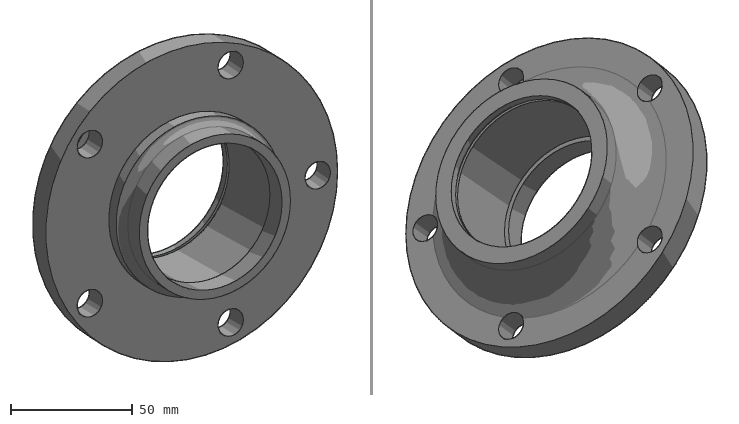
import cadquery as cq
import math

total_length = 52.0
flange_start = 22.0
flange_thickness = 11.0
flange_end = flange_start + flange_thickness
boss_length = 6.0
boss_end = flange_end + boss_length

flange_diameter = 139.0
hub_diameter = 83.0
boss_diameter = 79.0
spigot_diameter = 72.0

hub_fillet = 15.0
spigot_fillet = (boss_diameter - spigot_diameter) / 2

seat_diameter = 68.0
seat_depth = 42.0
shoulder_diameter = 64.0
groove_start = 3.5
groove_width = 1.5
groove_diameter = 71.0

bolt_count = 5
bolt_hole_diameter = 12.0
bolt_circle_diameter = 120.0


def disc(start, end, diameter):
    """Solid cylinder on the X axis between two stations."""
    return cq.Workplane("YZ", origin=(start, 0, 0)).circle(diameter / 2).extrude(end - start)


def outer_body():
    """Hub, flange, boss and spigot revolved about X, with concave blends at both necks."""
    hub_radius = hub_diameter / 2
    flange_radius = flange_diameter / 2
    boss_radius = boss_diameter / 2
    spigot_radius = spigot_diameter / 2
    diagonal = math.sqrt(0.5)

    hub_blend_x = flange_start - hub_fillet
    hub_blend_top = hub_radius + hub_fillet
    hub_blend_middle = (hub_blend_x + hub_fillet * diagonal, hub_blend_top - hub_fillet * diagonal)
    spigot_blend_x = boss_end + spigot_fillet
    spigot_blend_middle = (
        spigot_blend_x - spigot_fillet * diagonal,
        boss_radius - spigot_fillet * diagonal,
    )

    profile = (
        cq.Workplane("XY")
        .moveTo(0, 0)
        .lineTo(0, hub_radius)
        .lineTo(hub_blend_x, hub_radius)
        .threePointArc(hub_blend_middle, (flange_start, hub_blend_top))
        .lineTo(flange_start, flange_radius)
        .lineTo(flange_end, flange_radius)
        .lineTo(flange_end, boss_radius)
        .lineTo(boss_end, boss_radius)
        .threePointArc(spigot_blend_middle, (spigot_blend_x, spigot_radius))
        .lineTo(total_length, spigot_radius)
        .lineTo(total_length, 0)
        .close()
    )
    return profile.revolve(360, (0, 0, 0), (1, 0, 0))


def bore_cut():
    """Bearing seat with its ring groove, and the smaller opening through the shoulder."""
    seat = disc(0, seat_depth, seat_diameter)
    groove = disc(groove_start, groove_start + groove_width, groove_diameter)
    shoulder_opening = disc(0, total_length, shoulder_diameter)
    return seat.union(groove).union(shoulder_opening)


def bolt_holes():
    """Bolt holes on a circle about X, the first on the +Y side; they also trim the hub blend."""
    return (
        cq.Workplane("YZ")
        .polarArray(bolt_circle_diameter / 2, 0, 360, bolt_count)
        .circle(bolt_hole_diameter / 2)
        .extrude(flange_end)
    )


result = outer_body().cut(bore_cut()).cut(bolt_holes())